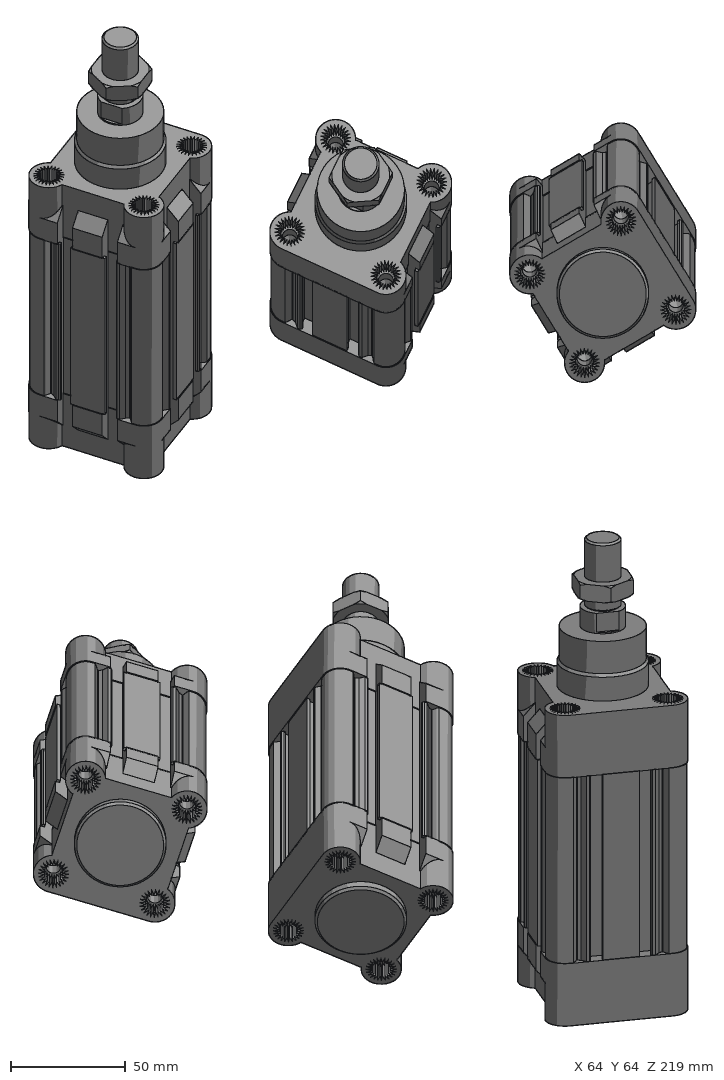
import cadquery as cq
import math

total_height = 219.0
boss_height = 4.2
body_height = 145.9
cap_height = 29.3
barrel_bottom = boss_height + cap_height
head_top = boss_height + body_height
barrel_top = head_top - cap_height
barrel_length = barrel_top - barrel_bottom

cap_width = 64.0
cap_half = cap_width / 2
core_half = 26.5
post_radius = 8.8
post_offset = cap_half - post_radius
barrel_half = 31.5
barrel_corner_radius = barrel_half - post_offset

lug_width = 14.5
lug_height = 11.8
lug_slope_height = 6.0
block_inner_edge = 14.7
block_width = post_offset - block_inner_edge

tooth_count = 24
tooth_tip_diameter = 8.0
tooth_root_diameter = 13.1
socket_depth = 8.8
screw_hole_diameter = 6.5
screw_hole_depth = 8.8
drill_point_angle = 118.0

slot_rib_edge = 8.3
slot_cavity_rib_edge = lug_width / 2
slot_lip_edge = 13.5
slot_lip_bevel = 0.7
slot_lip_depth = 1.5
slot_floor = 26.0
groove_inner_edge = 15.5
groove_slope = 2.0
groove_floor_start = 19.0
groove_floor_end = 19.5
groove_depth = 2.6
groove_step_edge = 20.8
groove_step_depth = 0.7
groove_outer_edge = 21.5

collar_diameter = 40.0
collar_top_diameter = 38.0
collar_base_height = 11.2
collar_bevel_height = 1.3
collar_height = 27.5
boss_chamfer = 1.0

rod_diameter = 20.0
thread_diameter = 16.0
thread_length = 32.0
thread_chamfer = 0.9
neck_diameter = 14.5
neck_height = 0.7
flats_width = 17.0
flats_clearance = 0.7

nut_width = 24.0
nut_height = 7.9
nut_top = 201.0
nut_face_diameter = 25.2
nut_chamfer_angle = 30.0

collar_top = head_top + collar_height
rod_shoulder = total_height - thread_length
post_places = [(sx * post_offset, sy * post_offset) for sx in (-1, 1) for sy in (-1, 1)]


def sloped_lug(left, width):
    """Lug on the -Y side, rising from the barrel joint and sloping back into the core."""
    profile = [
        (-post_offset, 0),
        (-cap_half, 0),
        (-cap_half, lug_height),
        (-core_half, lug_height + lug_slope_height),
        (-post_offset, lug_height + lug_slope_height),
    ]
    return cq.Workplane("YZ").polyline(profile).close().extrude(width).translate((left, 0, 0))


def screw_socket():
    """Toothed recess below z = 0, with a coned screw hole in its floor."""
    points = []
    for i in range(2 * tooth_count):
        radius = (tooth_root_diameter if i % 2 == 0 else tooth_tip_diameter) / 2
        angle = math.pi * i / tooth_count
        points.append((radius * math.cos(angle), radius * math.sin(angle)))
    recess = cq.Workplane("XY").polyline(points).close().extrude(-socket_depth)

    hole_radius = screw_hole_diameter / 2
    cone_height = hole_radius / math.tan(math.radians(drill_point_angle / 2))
    floor = -socket_depth
    hole_profile = [
        (0, floor),
        (hole_radius, floor),
        (hole_radius, floor - screw_hole_depth),
        (0, floor - screw_hole_depth - cone_height),
    ]
    hole = cq.Workplane("XZ").polyline(hole_profile).close().revolve(360, (0, 0), (0, 1))
    return recess.union(hole)


def end_cap():
    """Cap standing on z = 0 at the barrel joint, with its outer face at z = cap_height."""
    cap = cq.Workplane("XY").rect(2 * core_half, 2 * core_half).extrude(cap_height)
    cap = cap.union(cq.Workplane("XY").pushPoints(post_places).circle(post_radius).extrude(cap_height))

    plain_side = cq.Workplane("XY").box(2 * post_offset, cap_half, cap_height, centered=(True, False, False))
    cap = cap.union(plain_side)

    for angle in (-90, 0, 90):
        for left, width in (
            (-lug_width / 2, lug_width),
            (-post_offset, block_width),
            (block_inner_edge, block_width),
        ):
            cap = cap.union(sloped_lug(left, width).rotate((0, 0, 0), (0, 0, 1), angle))

    for x, y in post_places:
        cap = cap.cut(screw_socket().translate((x, y, cap_height)))
    return cap


def side_slot():
    """Undercut sensor slot and shallow corner groove on the +X half of the -Y side."""
    face = -barrel_half
    slot = [
        (slot_rib_edge, face),
        (slot_lip_edge + slot_lip_bevel, face),
        (slot_lip_edge, face + slot_lip_bevel),
        (slot_lip_edge, face + slot_lip_depth),
        (block_inner_edge, face + slot_lip_depth),
        (block_inner_edge, -slot_floor),
        (slot_cavity_rib_edge, -slot_floor),
        (slot_cavity_rib_edge, face + slot_lip_depth),
        (slot_rib_edge, face + slot_lip_depth),
    ]
    groove = [
        (groove_inner_edge, face),
        (groove_inner_edge + groove_slope, face + groove_slope),
        (groove_floor_start, face + groove_depth),
        (groove_floor_end, face + groove_depth),
        (groove_step_edge, face + groove_step_depth),
        (groove_outer_edge, face),
    ]
    return cq.Workplane("XY").polyline(slot).close().polyline(groove).close().extrude(barrel_length)


def barrel():
    """Solid extruded barrel with the same slots on all four sides."""
    block = cq.Workplane("XY").rect(2 * barrel_half, 2 * barrel_half).extrude(barrel_length)
    block = block.edges("|Z").fillet(barrel_corner_radius)
    half_side = side_slot()
    both_halves = half_side.add(half_side.mirror("YZ"))
    for cutter in both_halves.vals():
        for angle in (0, 90, 180, 270):
            block = block.cut(cq.Workplane(cutter.rotate(cq.Vector(), cq.Vector(0, 0, 1), angle)))
    return block.translate((0, 0, barrel_bottom))


def collars():
    """Two-step collar on the rod side, with a bevel between the steps."""
    profile = [
        (0, head_top),
        (collar_diameter / 2, head_top),
        (collar_diameter / 2, head_top + collar_base_height),
        (collar_top_diameter / 2, head_top + collar_base_height + collar_bevel_height),
        (collar_top_diameter / 2, collar_top),
        (0, collar_top),
    ]
    return cq.Workplane("XZ").polyline(profile).close().revolve(360, (0, 0), (0, 1))


def end_boss():
    """Centering boss below the foot cap."""
    boss = cq.Workplane("XY").circle(collar_diameter / 2).extrude(boss_height)
    return boss.faces("<Z").chamfer(boss_chamfer)


def make_housing():
    """Barrel, both caps, collar and boss as one solid."""
    head = end_cap().translate((0, 0, barrel_top))
    foot = end_cap().mirror("XY").translate((0, 0, barrel_bottom))
    return barrel().union(head).union(foot).union(collars()).union(end_boss())


def make_rod():
    """Rod end standing on the collar, with wrench flats and a plain threaded stud."""
    rod = cq.Workplane("XY", origin=(0, 0, collar_top)).circle(rod_diameter / 2)
    rod = rod.extrude(rod_shoulder - collar_top)
    flats_bottom = collar_top + flats_clearance
    flats_height = rod_shoulder - flats_bottom
    for side in (-1, 1):
        cutter_middle = side * (flats_width + rod_diameter) / 2
        cutter = cq.Workplane("XY").rect(rod_diameter, rod_diameter).extrude(flats_height)
        rod = rod.cut(cutter.translate((0, cutter_middle, flats_bottom)))

    neck = cq.Workplane("XY", origin=(0, 0, rod_shoulder)).circle(neck_diameter / 2).extrude(neck_height)
    stud_bottom = rod_shoulder + neck_height
    stud = cq.Workplane("XY", origin=(0, 0, stud_bottom)).circle(thread_diameter / 2)
    stud = stud.extrude(total_height - stud_bottom).faces(">Z").chamfer(thread_chamfer)
    return rod.union(neck).union(stud)


def make_nut():
    """Hexagon nut with corners along Y and bevelled corner tips."""
    corner_width = nut_width / math.cos(math.radians(30))
    hexagon = cq.Workplane("XY").polygon(6, corner_width).extrude(nut_height)
    hexagon = hexagon.rotate((0, 0, 0), (0, 0, 1), 90)
    face_radius = nut_face_diameter / 2
    corner_radius = corner_width / 2
    bevel_height = (corner_radius - face_radius) * math.tan(math.radians(nut_chamfer_angle))
    envelope = [
        (0, 0),
        (face_radius, 0),
        (corner_radius, bevel_height),
        (corner_radius, nut_height - bevel_height),
        (face_radius, nut_height),
        (0, nut_height),
    ]
    rounded = cq.Workplane("XZ").polyline(envelope).close().revolve(360, (0, 0), (0, 1))
    nut = hexagon.intersect(rounded)
    nut = nut.cut(cq.Workplane("XY").circle(thread_diameter / 2).extrude(nut_height))
    return nut.translate((0, 0, nut_top - nut_height))


housing = make_housing()
rod = make_rod()
nut = make_nut()
bodies = [housing, rod, nut]
result = cq.Compound.makeCompound([body.solids().val() for body in bodies])